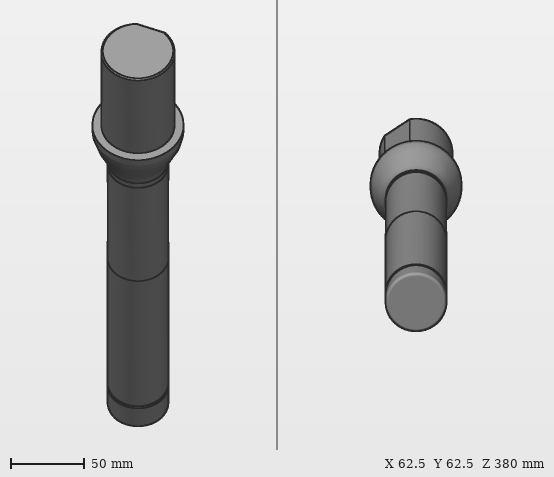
import cadquery as cq

total_height = 380.0
joint_z = 157.7
end_groove_bottom_z = 20.5
end_groove_top_z = 22.8
neck_groove_bottom_z = 258.0
neck_groove_top_z = 263.0
rim_bottom_z = 295.0
rim_top_z = 300.5

tube_diameter = 41.8
groove_diameter = 41.5
waist_diameter = 41.5
shank_diameter = 50.0
rim_diameter = 62.5

flare_points = [(22.5, 269.5), (25.5, 276.5), (29.0, 285.0)]

bottom_fillet = 2.0
top_chamfer = 1.0
flat_offset = 22.8
flat_bottom_z = 305.0


def cylinder(diameter, bottom_z, top_z):
    """Upright cylinder on the Z axis between two heights."""
    return cq.Workplane("XY").workplane(offset=bottom_z).circle(diameter / 2).extrude(top_z - bottom_z)


def make_lower_tube():
    """Straight tube with a rounded end and a shallow groove near it."""
    tube = cylinder(tube_diameter, 0, joint_z).faces("<Z").edges().fillet(bottom_fillet)
    groove_blank = cylinder(tube_diameter, end_groove_bottom_z, end_groove_top_z)
    groove_core = cylinder(groove_diameter, end_groove_bottom_z, end_groove_top_z)
    return tube.cut(groove_blank.cut(groove_core))


def make_grip():
    """Grip with a shallow neck groove and a curved flare that ends in a rim."""
    grip_radius = tube_diameter / 2
    groove_radius = groove_diameter / 2
    waist_z = (joint_z + neck_groove_bottom_z) / 2
    rim_radius = rim_diameter / 2
    return (
        cq.Workplane("XZ")
        .moveTo(0, joint_z)
        .lineTo(grip_radius, joint_z)
        .threePointArc((waist_diameter / 2, waist_z), (grip_radius, neck_groove_bottom_z))
        .lineTo(groove_radius, neck_groove_bottom_z)
        .lineTo(groove_radius, neck_groove_top_z)
        .lineTo(grip_radius, neck_groove_top_z)
        .spline([*flare_points, (rim_radius, rim_bottom_z)], includeCurrent=True)
        .lineTo(rim_radius, rim_top_z)
        .lineTo(0, rim_top_z)
        .close()
        .revolve(360, (0, 0, 0), (0, 1, 0))
    )


def make_shank():
    """Round shank with a flat on its +Y side and a chamfer around its top."""
    shank = cylinder(shank_diameter, rim_top_z, total_height)
    flat_cut = (
        cq.Workplane("XY")
        .workplane(offset=flat_bottom_z)
        .center(0, flat_offset + shank_diameter / 2)
        .rect(shank_diameter, shank_diameter)
        .extrude(total_height - flat_bottom_z)
    )
    return shank.cut(flat_cut).faces(">Z").edges().chamfer(top_chamfer)


lower_tube = make_lower_tube()
upper_body = make_grip().union(make_shank())

result = cq.Compound.makeCompound([lower_tube.val(), upper_body.val()])